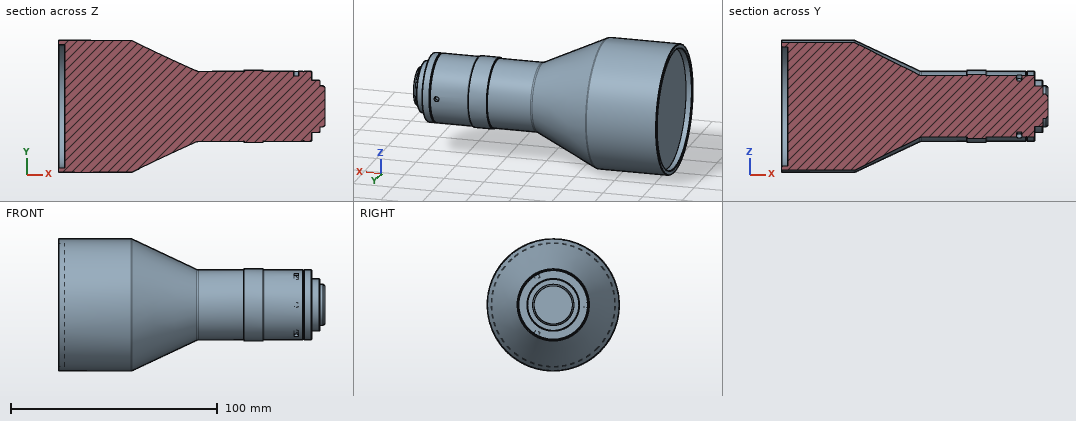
import cadquery as cq

total_length = 128.94

head_radius = 32.0
barrel_radius = 17.0
ring_radius = 17.5
flange_radius = 12.75
mount_radius = 10.0

head_end = 35.4
cone_end = 67.25
ring_start = 89.8
ring_end = 99.0
groove_center = 118.5
barrel_end = 122.5
flange_end = 126.5

front_chamfer = 0.3
head_fillet = 1.0
cone_fillet = 2.0
ring_relief_length = 0.4
ring_relief_depth = 0.15
rear_relief_length = 0.5
groove_half_width = 0.4
groove_depth = 0.25
barrel_chamfer = 0.4
flange_chamfer = 0.4
mount_chamfer_length = 1.1
mount_chamfer_depth = 0.75

edge_search = 0.01

recess_radius = 29.75
recess_depth = 3.0
recess_chamfer = 0.3

screw_count = 3
screw_x = 115.0
screw_radius = 1.2
screw_depth = 2.2
first_screw_angle = 60.0


def fillet_circle(body, x, fillet_radius):
    """Round the circular edge whose center lies on the X axis at x."""
    low = (x - edge_search, -edge_search, -edge_search)
    high = (x + edge_search, edge_search, edge_search)
    return body.edges(cq.selectors.BoxSelector(low, high)).fillet(fillet_radius)


def make_body():
    """Revolve the outer half profile, drawn as (x, radius), about the X axis."""
    profile = [
        (0, 0),
        (0, head_radius - front_chamfer),
        (front_chamfer, head_radius),
        (head_end, head_radius),
        (cone_end, barrel_radius),
        (ring_start - ring_relief_length, barrel_radius),
        (ring_start, barrel_radius - ring_relief_depth),
        (ring_start, ring_radius),
        (ring_end, ring_radius),
        (ring_end, barrel_radius - ring_relief_depth),
        (ring_end + rear_relief_length, barrel_radius),
        (groove_center - groove_half_width, barrel_radius),
        (groove_center, barrel_radius - groove_depth),
        (groove_center + groove_half_width, barrel_radius),
        (barrel_end - barrel_chamfer, barrel_radius),
        (barrel_end, barrel_radius - barrel_chamfer),
        (barrel_end, flange_radius),
        (flange_end - flange_chamfer, flange_radius),
        (flange_end, flange_radius - flange_chamfer),
        (flange_end, mount_radius),
        (total_length - mount_chamfer_length, mount_radius),
        (total_length, mount_radius - mount_chamfer_depth),
        (total_length, 0),
    ]
    body = cq.Workplane("XZ").polyline(profile).close().revolve(360, (0, 0), (1, 0))
    body = fillet_circle(body, head_end, head_fillet)
    return fillet_circle(body, cone_end, cone_fillet)


def make_front_recess():
    """Round recess in the front face, with a chamfered mouth."""
    profile = [
        (0, 0),
        (0, recess_radius + recess_chamfer),
        (recess_chamfer, recess_radius),
        (recess_depth, recess_radius),
        (recess_depth, 0),
    ]
    return cq.Workplane("XZ").polyline(profile).close().revolve(360, (0, 0), (1, 0))


def make_screw_hole(angle):
    """Radial flat-bottomed hole, at an angle about X measured from -Y towards +Z."""
    floor_plane = cq.Workplane("XY", origin=(screw_x, 0, barrel_radius - screw_depth))
    hole = floor_plane.circle(screw_radius).extrude(screw_depth + screw_radius)
    return hole.rotate((0, 0, 0), (1, 0, 0), 90 - angle)


result = make_body().cut(make_front_recess())
for index in range(screw_count):
    result = result.cut(make_screw_hole(first_screw_angle + index * 360 / screw_count))